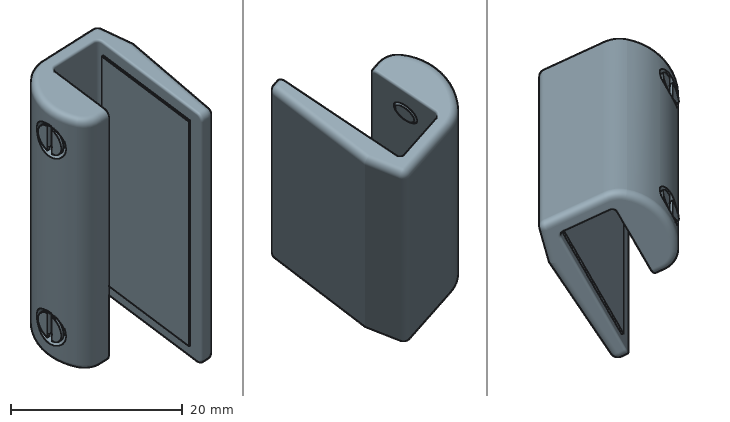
import cadquery as cq
import math

length = 39.98
depth = 15.2
plate_reach = 20.0
jaw_reach = 12.1
wall = 2.08
slot_front = 5.0
slot_back = 12.27
ridge_x = 5.1
back_left_y = 14.0
back_tip_y = 14.25
left_arc_top = 5.35
jaw_arc_top = 3.6
belly_x = 6.8
belly_radius = 7.6
outer_round = 0.95
slot_corner_round = 0.6
rim_round = 0.3

pad_left = 3.0
pad_right = 18.0
pad_margin = 2.0
pad_thickness = 0.25

screw_x = 7.0
screw_end_distance = 5.0
screw_radius = 1.7
head_radius = 2.0
sink_radius = 2.48
head_y = 0.1
head_back_y = sink_radius - head_radius
tip_projection = 0.15
tip_radius = 1.4
drive_width = 0.8
drive_depth = 0.6
screw_heights = (screw_end_distance, length - screw_end_distance)

tolerance = 0.005


def side_arc_radius(side_x, top_y):
    """Radius of the arc tangent to a vertical side at top_y and to the belly arc inside it."""
    across = abs(side_x - belly_x)
    rise = belly_radius - top_y
    return (belly_radius**2 - across**2 - rise**2) / (2 * (belly_radius - across))


def belly_seam(side_x, top_y):
    """Point where a side arc runs into the belly arc."""
    inward = math.copysign(side_arc_radius(side_x, top_y), belly_x - side_x)
    dx = side_x + inward - belly_x
    dy = top_y - belly_radius
    reach = belly_radius / math.hypot(dx, dy)
    return (belly_x + dx * reach, belly_radius + dy * reach)


def clamp_blank():
    left_seam = belly_seam(0, left_arc_top)
    right_seam = belly_seam(jaw_reach, jaw_arc_top)
    return (
        cq.Workplane("XY")
        .moveTo(0, back_left_y)
        .lineTo(0, left_arc_top)
        .tangentArcPoint(left_seam, relative=False)
        .threePointArc((belly_x, 0), right_seam)
        .tangentArcPoint((jaw_reach, jaw_arc_top), relative=False)
        .lineTo(jaw_reach, slot_front)
        .lineTo(wall, slot_front)
        .lineTo(wall, slot_back)
        .lineTo(plate_reach, slot_back)
        .lineTo(plate_reach, back_tip_y)
        .lineTo(ridge_x, depth)
        .close()
        .extrude(length)
    )


def vertical_edge(x, y):
    """Selector for the full-height edge at (x, y)."""
    return cq.selectors.BoxSelector(
        (x - tolerance, y - tolerance, 0), (x + tolerance, y + tolerance, length)
    )


def is_slot_edge(edge):
    """True for an edge lying on the slot walls or their corner rounds."""
    point = edge.positionAt(0.5)
    return (
        point.x > wall - tolerance
        and slot_front - tolerance < point.y < slot_back + tolerance
    )


def round_clamp(body):
    body = body.edges(vertical_edge(0, back_left_y)).fillet(outer_round)
    body = body.edges(vertical_edge(plate_reach, back_tip_y)).fillet(outer_round)
    for y in (slot_front, slot_back):
        body = body.edges(vertical_edge(wall, y)).fillet(slot_corner_round)
    ends = body.faces("<Z or >Z").edges()
    outer = [edge for edge in ends.vals() if not is_slot_edge(edge)]
    body = body.newObject(outer).fillet(outer_round)
    rim = [
        edge
        for edge in body.edges().vals()
        if is_slot_edge(edge) and not is_inside_slot(edge)
    ]
    return body.newObject(rim).fillet(rim_round)


def is_inside_slot(edge):
    """True for the seams between the slot walls and their corner rounds."""
    point = edge.positionAt(0.5)
    near_corner = point.x < wall + slot_corner_round + tolerance
    return near_corner and tolerance < point.z < length - tolerance


def drill_screw_hole(body, z):
    """Through hole in the jaw, its mouth chamfered along the belly surface."""
    hole = cq.Workplane("XZ").center(screw_x, z).circle(screw_radius).extrude(-slot_front)
    mouth = cq.selectors.BoxSelector(
        (screw_x - sink_radius, -tolerance, z - sink_radius),
        (screw_x + sink_radius, sink_radius - screw_radius, z + sink_radius),
        boundingbox=True,
    )
    return body.cut(hole).edges(mouth).chamfer(sink_radius - screw_radius)


def make_clamp():
    body = round_clamp(clamp_blank())
    for z in screw_heights:
        body = drill_screw_hole(body, z)
    return body


def make_pad():
    return cq.Workplane("XY").box(
        pad_right - pad_left, pad_thickness, length - 2 * pad_margin, centered=False
    ).translate((pad_left, slot_back - pad_thickness, pad_margin))


def make_screw(z):
    """Slotted set screw with a disc head and a conical tip just proud of the jaw."""
    tip_y = slot_front + tip_projection
    body = (
        cq.Workplane("XY")
        .moveTo(0, head_y)
        .lineTo(head_radius, head_y)
        .lineTo(head_radius, head_back_y)
        .lineTo(screw_radius, head_back_y)
        .lineTo(screw_radius, tip_y - (screw_radius - tip_radius))
        .lineTo(tip_radius, tip_y)
        .lineTo(0, tip_y)
        .close()
        .revolve(360, (0, 0, 0), (0, 1, 0))
    )
    drive = cq.Workplane("XY").box(drive_width, 2 * drive_depth, 2 * head_radius)
    return body.cut(drive.translate((0, head_y, 0))).translate((screw_x, 0, z))


clamp = make_clamp()
pad = make_pad()
screws = [make_screw(z).val() for z in screw_heights]
result = cq.Compound.makeCompound([clamp.val(), pad.val(), *screws])